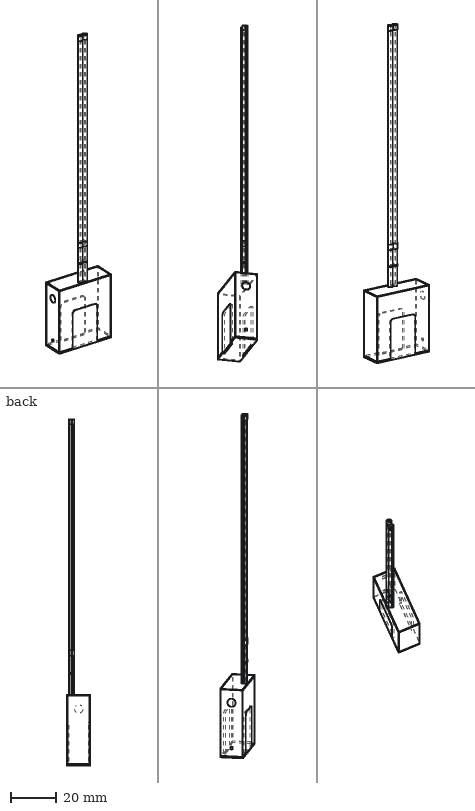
import cadquery as cq

case_x = 10.2
case_y = 28.0
case_top = 31.1
plate_height = 0.8

rim_width = 0.3
face_sink = 0.08

panel_width = 13.3
panel_top = 19.0
panel_corner = 1.5
panel_thickness = 0.9

recess_depth = 0.2
button_radius = 1.8
button_height = 25.0
pinhole_radius = 0.6
pinhole_height = 4.5

overall_height = 152.6
wire_base = case_top - face_sink
wire_radius = 1.18
sleeve_radius = 1.2
wire_x = 3.0
slot_width = 0.5
slot_depth = sleeve_radius
sleeve_spans = [(40.3, 40.9), (48.4, 50.8), (150.5, overall_height)]


def make_box(size_x, size_y, bottom, top):
    """Upright box centred on the Z axis."""
    base = cq.Workplane("XY", origin=(0, 0, bottom))
    return base.box(size_x, size_y, top - bottom, centered=(True, True, False))


def make_panel(side):
    """Plate with rounded upper corners, flush with the +X (side=1) or -X (side=-1) face."""
    middle_x = side * (case_x - panel_thickness) / 2
    panel = make_box(panel_thickness, panel_width, 0, panel_top)
    return panel.edges("|X and >Z").fillet(panel_corner).translate((middle_x, 0, 0))


def make_recess(radius, height):
    """Cutter for a shallow round recess in the sunken -Y face."""
    face = cq.Workplane("XZ", origin=(0, face_sink - case_y / 2, height))
    return face.circle(radius).extrude(-recess_depth)


def make_housing(panels):
    """Block with sunken faces inside narrow rims, pockets for the panels and round recesses."""
    window_x = case_x - 2 * rim_width
    window_y = case_y - 2 * rim_width
    window_top = case_top - rim_width
    block = make_box(case_x, case_y, plate_height, case_top)

    layer_x = make_box(case_x, window_y, plate_height, window_top)
    layer_x = layer_x.cut(make_box(case_x - 2 * face_sink, case_y, plate_height, window_top))
    layer_y = make_box(window_x, case_y, plate_height, window_top)
    layer_y = layer_y.cut(make_box(case_x, case_y - 2 * face_sink, plate_height, window_top))
    layer_top = make_box(window_x, window_y, case_top - face_sink, case_top)
    block = block.cut(layer_x).cut(layer_y).cut(layer_top)

    for panel in panels:
        block = block.cut(panel)
    block = block.cut(make_recess(button_radius, button_height))
    return block.cut(make_recess(pinhole_radius, pinhole_height))


def make_base_plate(panels):
    """Thin plate closing the case from below, notched for the panels."""
    plate = make_box(case_x, case_y, 0, plate_height)
    for panel in panels:
        plate = plate.cut(panel)
    return plate


def make_rod(radius, wire_y, bottom, top):
    """Upright round rod on the axis of one wire."""
    return cq.Workplane("XY", origin=(wire_x, wire_y, bottom)).circle(radius).extrude(top - bottom)


def make_wire(side):
    """Round wire with slightly thicker sleeves and a slot along its outer side.

    The sleeves of the two wires touch at Y = 0.
    """
    wire_y = side * sleeve_radius
    wire = make_rod(wire_radius, wire_y, wire_base, overall_height)
    for bottom, top in sleeve_spans:
        wire = wire.union(make_rod(sleeve_radius, wire_y, bottom, top))
    slot_y = side * (2 * sleeve_radius - slot_depth / 2)
    slot = make_box(slot_width, slot_depth, wire_base, overall_height).translate((wire_x, slot_y, 0))
    return wire.cut(slot)


sides = (-1, 1)
panels = [make_panel(side) for side in sides]
wires = [make_wire(side) for side in sides]
housing = make_housing(panels)
base_plate = make_base_plate(panels)

result = cq.Compound.makeCompound(
    [
        housing.val(),
        base_plate.val(),
        *[panel.val() for panel in panels],
        *[wire.val() for wire in wires],
    ]
)